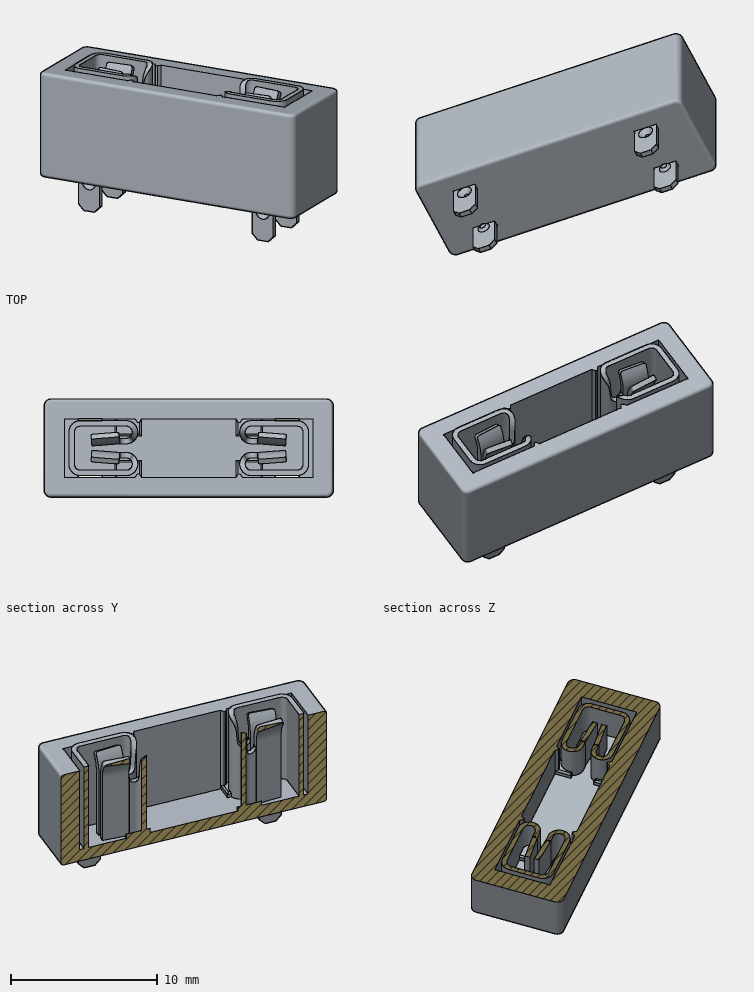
import cadquery as cq
import math

LENGTH = 19.81
WIDTH = 6.74
HEIGHT = 7.53
CORNER_RADIUS = 0.5
RIM_RADIUS = 0.24

CAVITY_LENGTH = 17.0
CAVITY_WIDTH = 4.0
FLOOR = 1.0

RIB_BASE_INNER = 3.23
RIB_BASE_OUTER = 3.68
RIB_TIP_INNER = 3.37
RIB_TIP_OUTER = 3.5
RIB_DEPTH = 0.24

PAD_INNER_X = 3.25
PAD_OUTER_X = 5.05
PAD_INNER_Y = 0.83
PAD_HEIGHT = 0.4
PAD_CHAMFER = 0.12

SHEET = 0.38
BEND_OUTER = 0.8
BEND_INNER = BEND_OUTER - SHEET
TERMINAL_END_X = 8.2
TERMINAL_HALF_WIDTH = 1.88
TERMINAL_TOP = HEIGHT + 0.24
CURL_X = 4.28
CURL_Y = TERMINAL_HALF_WIDTH - BEND_OUTER

CURL_TURN = 180.0
CREST_START = 40.0
CREST_END = 138.0
CREST_DROP = 1.19
TROUGH_START = 144.0
TROUGH_RISE = 0.44
DROP_SLOPE = 84.0
DROP_STEPS = 6

NECK_TOP = 5.3
NECK_LENGTH = 0.44
FINGER_START_X = CURL_X + NECK_LENGTH
FINGER_LENGTH = 1.92
FINGER_TOE_IN = 4.5
FINGER_FLARE = 30.0
FINGER_BEND_RADIUS = 2.28
FINGER_BEND_Z = 6.2
FINGER_TIP_LENGTH = 0.34
FINGER_CORNER = 0.18

LEG_X = 6.74
LEG_WIDTH = 1.62
LEG_DROP = 2.44
LEG_CHAMFER = 0.42
DIMPLE_Z = -0.35
DIMPLE_RADIUS = 0.52
DIMPLE_BOTTOM_RADIUS = 0.12
DIMPLE_DEPTH = 0.3
BUMP_RADIUS = 0.42
BUMP_HEIGHT = 0.2


def box(x0, x1, y0, y1, z0, z1):
    return cq.Workplane("XY").box(x1 - x0, y1 - y0, z1 - z0, centered=False).translate((x0, y0, z0))


def with_mirror(shape, plane):
    return shape.union(shape.mirror(plane))


def housing():
    body = cq.Workplane("XY").box(LENGTH, WIDTH, HEIGHT, centered=(True, True, False))
    body = body.edges("|Z").fillet(CORNER_RADIUS)
    body = body.faces("<Z or >Z").edges().fillet(RIM_RADIUS)
    cavity = cq.Workplane("XY").box(CAVITY_LENGTH, CAVITY_WIDTH, HEIGHT, centered=(True, True, False))
    return body.cut(cavity.translate((0, 0, FLOOR)))


def rib():
    wall = CAVITY_WIDTH / 2
    outline = [
        (RIB_BASE_INNER, wall),
        (RIB_TIP_INNER, wall - RIB_DEPTH),
        (RIB_TIP_OUTER, wall - RIB_DEPTH),
        (RIB_BASE_OUTER, wall),
    ]
    return cq.Workplane("XY").workplane(offset=FLOOR).polyline(outline).close().extrude(HEIGHT - FLOOR)


def pad():
    block = box(PAD_INNER_X, PAD_OUTER_X, PAD_INNER_Y, CAVITY_WIDTH / 2, FLOOR, FLOOR + PAD_HEIGHT)
    return block.faces(">Z").edges("|Y or <Y").chamfer(PAD_CHAMFER)


def leg_slot():
    return box(
        LEG_X - LEG_WIDTH / 2, LEG_X + LEG_WIDTH / 2,
        TERMINAL_HALF_WIDTH - SHEET, CAVITY_WIDTH / 2,
        0, FLOOR,
    )


def terminal_walls():
    """Half of the bent box on the +Y side: end wall, rounded corner and side wall."""
    outer = box(CURL_X, TERMINAL_END_X, -TERMINAL_HALF_WIDTH, TERMINAL_HALF_WIDTH, FLOOR, TERMINAL_TOP)
    outer = outer.edges("|Z and >X").fillet(BEND_OUTER)
    inner_half = TERMINAL_HALF_WIDTH - SHEET
    inner = box(CURL_X, TERMINAL_END_X - SHEET, -inner_half, inner_half, FLOOR, TERMINAL_TOP)
    inner = inner.edges("|Z and >X").fillet(BEND_INNER)
    half = box(CURL_X, TERMINAL_END_X, 0, TERMINAL_HALF_WIDTH, FLOOR, TERMINAL_TOP)
    return outer.cut(inner).intersect(half)


def drop_profile():
    """(turn angle, height) pairs along the top edge of the curl, from the side wall to the neck."""
    steep = math.radians(DROP_SLOPE)
    crest = []
    trough = []
    for i in range(DROP_STEPS + 1):
        slope = steep * i / DROP_STEPS
        along = math.sin(slope) / math.sin(steep)
        down = (1 - math.cos(slope)) / (1 - math.cos(steep))
        crest.append((CREST_START + (CREST_END - CREST_START) * along, TERMINAL_TOP - CREST_DROP * down))
        trough.append((CURL_TURN - (CURL_TURN - TROUGH_START) * along, NECK_TOP + TROUGH_RISE * down))
    return crest + trough[::-1]


def drop_cutter():
    """Volume above the falling top edge of the curl, lofted through radial sections."""
    inner = BEND_INNER / 2
    outer = BEND_OUTER + SHEET
    high = TERMINAL_TOP + SHEET
    wires = []
    for turn, low in drop_profile():
        angle = math.radians(turn)
        corners = [(inner, low), (outer, low), (outer, high), (inner, high)]
        points = [cq.Vector(-r * math.sin(angle), r * math.cos(angle), z) for r, z in corners]
        wires.append(cq.Wire.makePolygon(points, close=True))
    return cq.Workplane(cq.Solid.makeLoft(wires))


def curl():
    """Half-round bend from the side wall to the neck, with its top edge cut down."""
    section = cq.Workplane("XZ").moveTo(-BEND_OUTER, FLOOR).lineTo(-BEND_INNER, FLOOR)
    section = section.lineTo(-BEND_INNER, TERMINAL_TOP).lineTo(-BEND_OUTER, TERMINAL_TOP).close()
    ring = section.revolve(CURL_TURN, (0, 0, 0), (0, 1, 0)).rotate((0, 0, 0), (0, 0, 1), -90)
    return ring.cut(drop_cutter()).translate((CURL_X, CURL_Y, 0))


def neck():
    """Low strip from the curl to the finger, rising into the finger with a full-length fillet."""
    return (
        cq.Workplane("XZ", origin=(0, CURL_Y - BEND_OUTER, 0))
        .moveTo(CURL_X, FLOOR)
        .lineTo(CURL_X, NECK_TOP)
        .radiusArc((FINGER_START_X, NECK_TOP + NECK_LENGTH), -NECK_LENGTH)
        .lineTo(FINGER_START_X, FLOOR)
        .close()
        .extrude(-SHEET)
    )


def finger():
    """Spring finger: upright sheet whose top flares away from the centre plane."""
    flare = math.radians(FINGER_FLARE)
    outer_radius = FINGER_BEND_RADIUS - SHEET
    bend_y = FINGER_BEND_RADIUS
    rise = math.sin(flare)
    setback = math.cos(flare)

    def bend_end(radius):
        return (bend_y - radius * setback, FINGER_BEND_Z + radius * rise)

    def bend_mid(radius):
        return (bend_y - radius * math.cos(flare / 2), FINGER_BEND_Z + radius * math.sin(flare / 2))

    def tip(radius):
        y, z = bend_end(radius)
        return (y + FINGER_TIP_LENGTH * rise, z + FINGER_TIP_LENGTH * setback)

    sheet = (
        cq.Workplane("YZ")
        .moveTo(0, FLOOR)
        .lineTo(0, FINGER_BEND_Z)
        .threePointArc(bend_mid(FINGER_BEND_RADIUS), bend_end(FINGER_BEND_RADIUS))
        .lineTo(*tip(FINGER_BEND_RADIUS))
        .lineTo(*tip(outer_radius))
        .lineTo(*bend_end(outer_radius))
        .threePointArc(bend_mid(outer_radius), (SHEET, FINGER_BEND_Z))
        .lineTo(SHEET, FLOOR)
        .close()
        .extrude(FINGER_LENGTH)
    )
    tip_centre = (FINGER_LENGTH / 2, *tip(FINGER_BEND_RADIUS - SHEET / 2))
    sheet = sheet.faces(cq.selectors.NearestToPointSelector(tip_centre)).edges("not |X").fillet(FINGER_CORNER)
    sheet = sheet.rotate((0, 0, 0), (0, 0, 1), -FINGER_TOE_IN)
    return sheet.translate((FINGER_START_X, CURL_Y - BEND_OUTER, 0))


def leg():
    blade = box(
        LEG_X - LEG_WIDTH / 2, LEG_X + LEG_WIDTH / 2,
        TERMINAL_HALF_WIDTH - SHEET, TERMINAL_HALF_WIDTH,
        -LEG_DROP, FLOOR,
    )
    blade = blade.edges("|Y and <Z").chamfer(LEG_CHAMFER)
    inward = cq.Vector(0, -1, 0)
    inner_face = cq.Vector(LEG_X, TERMINAL_HALF_WIDTH - SHEET, DIMPLE_Z)
    outer_face = cq.Vector(LEG_X, TERMINAL_HALF_WIDTH, DIMPLE_Z)
    bump = cq.Solid.makeCone(BUMP_RADIUS, BUMP_RADIUS - BUMP_HEIGHT, BUMP_HEIGHT, inner_face, inward)
    dimple = cq.Solid.makeCone(DIMPLE_RADIUS, DIMPLE_BOTTOM_RADIUS, DIMPLE_DEPTH, outer_face, inward)
    return blade.union(cq.Workplane(bump)).cut(cq.Workplane(dimple))


def quarter_features():
    """Everything added to the housing in the +X +Y quarter."""
    features = rib().union(pad()).union(terminal_walls()).union(curl())
    return features.union(neck()).union(finger()).union(leg())


slots = with_mirror(with_mirror(leg_slot(), "XZ"), "YZ")
features = with_mirror(with_mirror(quarter_features(), "XZ"), "YZ")
result = housing().cut(slots).union(features)